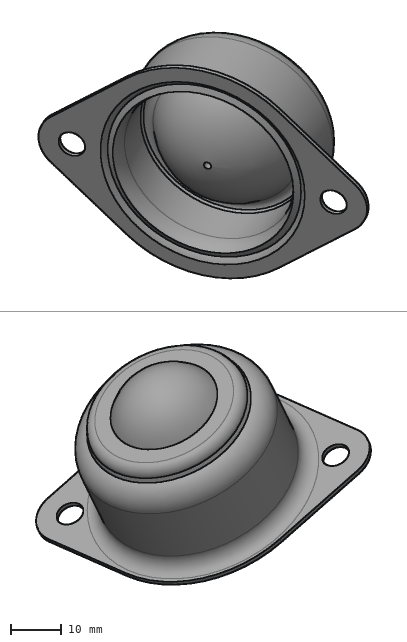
import cadquery as cq
import math

flange_length = 69.9
flange_height = 50.1
flange_thickness = 1.0
ear_radius = 7.1
ear_hole_diameter = 5.6
ear_offset = flange_length / 2 - ear_radius
hub_radius = flange_height / 2

body_radius = 21.0
root_radius = 3.2
root_end = flange_thickness + root_radius
shoulder_start = 17.5
shoulder_radius = 5.0
collar_base_radius = 17.2
collar_radius = 16.8
collar_base = 23.35
collar_top = 25.6
collar_rounding = collar_top - collar_base

ball_radius = 12.7
ball_top = 32.3
ball_center = ball_top - ball_radius

bore_radius = 18.25
bore_end = 13.3
trough_outer_radius = 17.9
trough_start = 14.0
cup_radius = 16.85
cup_center = ball_center
cup_rim_radius = 15.6
lip_radius = 19.2
lip_y = 0.3
drain_diameter = 1.55

root_center_radius = body_radius + root_radius
groove_arc_radius = 4.9
groove_depth = 1.0


def arc_point(center, radius, degrees):
    angle = math.radians(degrees)
    return (center[0] + radius * math.cos(angle), center[1] + radius * math.sin(angle))


def revolve_profile(profile):
    return profile.close().revolve(360, (0, 0, 0), (0, 1, 0))


def make_flange():
    sine = (hub_radius - ear_radius) / ear_offset
    cosine = math.sqrt(1 - sine**2)
    hub_x = hub_radius * sine
    hub_z = hub_radius * cosine
    ear_x = ear_offset + ear_radius * sine
    ear_z = ear_radius * cosine
    return (
        cq.Workplane("XZ")
        .moveTo(-hub_x, hub_z)
        .threePointArc((0, hub_radius), (hub_x, hub_z))
        .lineTo(ear_x, ear_z)
        .threePointArc((flange_length / 2, 0), (ear_x, -ear_z))
        .lineTo(hub_x, -hub_z)
        .threePointArc((0, -hub_radius), (-hub_x, -hub_z))
        .lineTo(-ear_x, -ear_z)
        .threePointArc((-flange_length / 2, 0), (-ear_x, ear_z))
        .close()
        .pushPoints([(-ear_offset, 0), (ear_offset, 0)])
        .circle(ear_hole_diameter / 2)
        .extrude(-flange_thickness)
    )


def make_housing():
    root_center = (root_center_radius, root_end)
    shoulder_center = (body_radius - shoulder_radius, shoulder_start)
    shoulder_angle = math.acos((collar_base_radius - shoulder_center[0]) / shoulder_radius)
    shoulder_middle = math.degrees(shoulder_angle) / 2
    shoulder_end = shoulder_start + shoulder_radius * math.sin(shoulder_angle)
    collar_center = (collar_radius - collar_rounding, collar_base)
    return revolve_profile(
        cq.Workplane("XY")
        .lineTo(root_center_radius, 0)
        .lineTo(root_center_radius, flange_thickness)
        .threePointArc(arc_point(root_center, root_radius, 225), (body_radius, root_end))
        .lineTo(body_radius, shoulder_start)
        .threePointArc(
            arc_point(shoulder_center, shoulder_radius, shoulder_middle),
            (collar_base_radius, shoulder_end),
        )
        .lineTo(collar_radius, collar_base)
        .threePointArc(
            arc_point(collar_center, collar_rounding, 45),
            (collar_center[0], collar_top),
        )
        .lineTo(0, collar_top)
    )


def make_cavity():
    groove_angles = [
        math.asin((root_end - y) / groove_arc_radius) for y in (0, groove_depth / 2, groove_depth)
    ]
    groove_start, groove_middle, groove_end = [
        (root_center_radius - groove_arc_radius * math.cos(angle),
         root_end - groove_arc_radius * math.sin(angle))
        for angle in groove_angles
    ]
    flare = lip_radius - bore_radius
    flare_depth = root_end - lip_y
    flare_radius = (flare**2 + flare_depth**2) / (2 * flare)
    flare_center = (bore_radius + flare_radius, root_end)
    flare_middle = 180 + math.degrees(math.asin(flare_depth / flare_radius)) / 2
    rim_depth = math.sqrt(cup_radius**2 - cup_rim_radius**2)
    cup_rim = (cup_rim_radius, cup_center - rim_depth)
    cup_middle_angle = (math.degrees(math.atan2(-rim_depth, cup_rim_radius)) - 90) / 2
    return revolve_profile(
        cq.Workplane("XY")
        .moveTo(0, cup_center - cup_radius)
        .threePointArc(arc_point((0, cup_center), cup_radius, cup_middle_angle), cup_rim)
        .tangentArcPoint((trough_outer_radius, trough_start), relative=False)
        .lineTo(bore_radius, bore_end)
        .lineTo(bore_radius, root_end)
        .threePointArc(arc_point(flare_center, flare_radius, flare_middle), (lip_radius, lip_y))
        .lineTo(groove_end[0], groove_end[1])
        .threePointArc(groove_middle, groove_start)
        .lineTo(0, 0)
    )


ball = cq.Workplane("XY").sphere(ball_radius).translate((0, ball_center, 0))
drain = cq.Workplane("XZ").circle(drain_diameter / 2).extrude(-ball_center)

result = make_flange().union(make_housing()).cut(make_cavity()).cut(drain).union(ball)